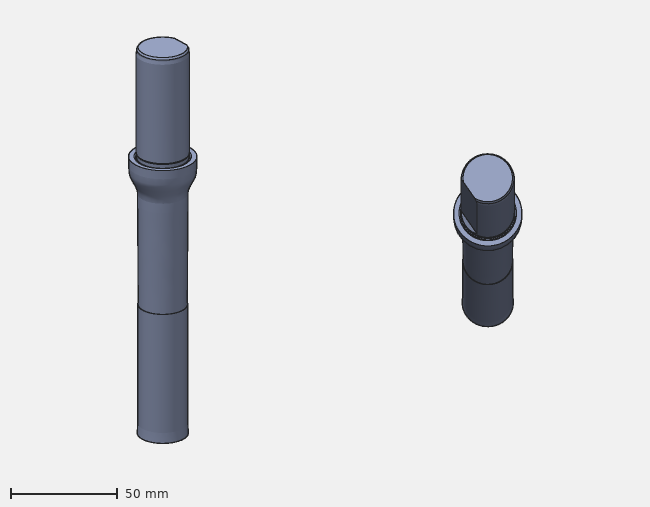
import cadquery as cq

total_length = 199.0
flange_top = 142.9
flange_rim_bottom = 138.3
collar_top = 123.8
collar_bottom = 119.0
joint_height = 66.9
head_flare_top = 5.8
head_edge_height = 0.5

shank_diameter = 25.0
shank_end_diameter = 23.0
relief_diameter = 24.5
flange_diameter = 32.0
neck_diameter = 23.7
neck_joint_diameter = 23.0
head_diameter = 23.5
head_edge_diameter = 24.0
head_tip_diameter = 8.4

end_chamfer_length = 1.0
end_step_length = 1.8
end_lead_length = 3.4

undercut_height = 2.0
undercut_depth = 0.5
undercut_outer_diameter = 26.9

transition_lower_point = (12.3, 126.8)
transition_upper_point = (15.0, 132.1)

flat_offset = 10.5
flat_bottom = 147.7

shank_radius = shank_diameter / 2
relief_radius = relief_diameter / 2
flange_radius = flange_diameter / 2
neck_radius = neck_diameter / 2


def make_clamping_flat_cutter():
    """Wedge-ended block that removes the flat and its 45 degree run-out."""
    runout = shank_radius - flat_offset
    return (
        cq.Workplane("YZ")
        .moveTo(flat_offset, flat_bottom)
        .lineTo(flat_offset + runout, flat_bottom - runout)
        .lineTo(flat_offset + runout, total_length)
        .lineTo(flat_offset, total_length)
        .close()
        .extrude(shank_radius, both=True)
    )


def make_holder():
    """Shank, flange and neck turned in one piece, with the flat cut into the shank."""
    transition_points = [
        transition_lower_point,
        transition_upper_point,
        (flange_radius, flange_rim_bottom),
    ]
    upward = (0, 1)

    turned = (
        cq.Workplane("XZ")
        .moveTo(0, joint_height)
        .lineTo(neck_joint_diameter / 2, joint_height)
        .lineTo(neck_radius, collar_bottom)
        .lineTo(neck_radius, collar_top)
        .spline(transition_points, tangents=[upward, upward], includeCurrent=True)
        .lineTo(flange_radius, flange_top)
        .lineTo(undercut_outer_diameter / 2, flange_top)
        .lineTo(undercut_outer_diameter / 2 - undercut_depth, flange_top - undercut_depth)
        .lineTo(relief_radius, flange_top - undercut_depth)
        .lineTo(relief_radius, flange_top + undercut_height - undercut_depth)
        .lineTo(shank_radius, flange_top + undercut_height)
        .lineTo(shank_radius, total_length - end_lead_length)
        .lineTo(relief_radius, total_length - end_step_length)
        .lineTo(relief_radius, total_length - end_chamfer_length)
        .lineTo(shank_end_diameter / 2, total_length)
        .lineTo(0, total_length)
        .close()
        .revolve(360, (0, 0), (0, 1))
    )
    return turned.cut(make_clamping_flat_cutter())


def make_cutting_head():
    """Cylindrical head that flares to its cutting edge and ends in a blunt shallow cone."""
    return (
        cq.Workplane("XZ")
        .lineTo(head_tip_diameter / 2, 0)
        .lineTo(head_edge_diameter / 2, head_edge_height)
        .lineTo(head_diameter / 2, head_flare_top)
        .lineTo(head_diameter / 2, joint_height)
        .lineTo(0, joint_height)
        .close()
        .revolve(360, (0, 0), (0, 1))
    )


holder = make_holder()
cutting_head = make_cutting_head()

result = cq.Compound.makeCompound([holder.val(), cutting_head.val()])